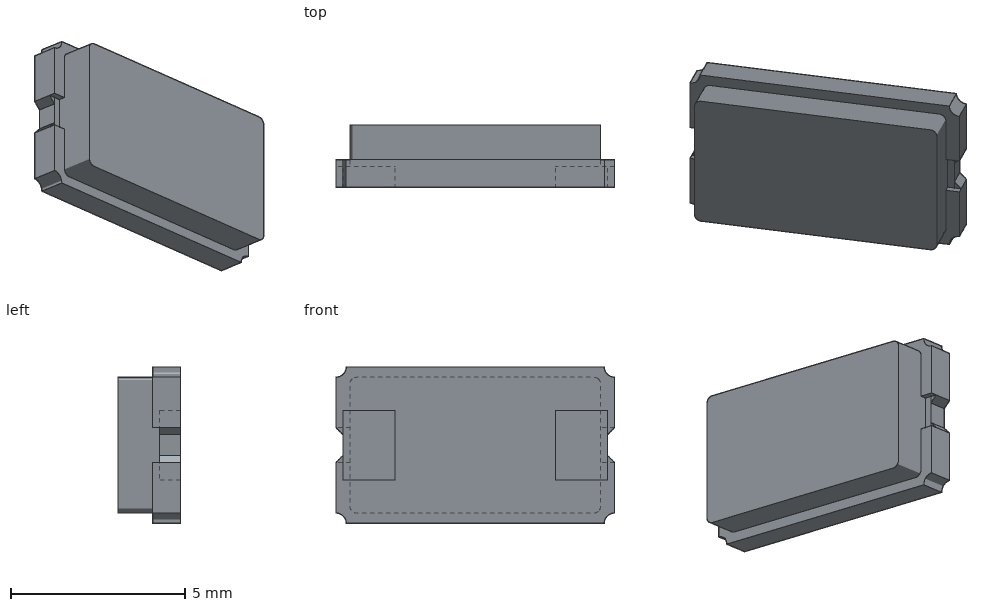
import cadquery as cq

base_length = 8.0
base_height = 4.5
base_depth = 0.8
corner_radius = 0.3

block_length = 7.2
block_height = 3.9
block_depth = 1.0
block_edge_radius = 0.2

notch_width = 1.0
notch_inset = 0.2
notch_floor_width = notch_width - 2 * notch_inset

pad_length = 1.5
pad_height = 2.0
pad_depth = 0.6
pad_outer_x = base_length / 2 - notch_inset

slot_inset = (base_length - block_length) / 2
slot_depth = base_depth - pad_depth

END_SIDES = (-1, 1)


def box_from_front(length, depth, height, center_x=0.0, front_y=0.0):
    """Box centred on Z = 0 whose front face lies at front_y."""
    return cq.Workplane("XY").box(length, depth, height).translate((center_x, front_y + depth / 2, 0))


def make_base():
    plate = box_from_front(base_length, base_depth, base_height)
    corner_cutters = (
        cq.Workplane("XZ")
        .rect(base_length, base_height, forConstruction=True)
        .vertices()
        .circle(corner_radius)
        .extrude(-base_depth)
    )
    return plate.cut(corner_cutters)


def make_block():
    block = box_from_front(block_length, block_depth, block_height, front_y=base_depth)
    return block.edges("|Y").fillet(block_edge_radius)


def make_notch_cutter(side):
    """Sloped notch through the pad depth, with the wider slot behind it."""
    end_x = side * base_length / 2
    floor_x = side * pad_outer_x
    notch = (
        cq.Workplane("XZ")
        .polyline([
            (end_x, -notch_width / 2),
            (floor_x, -notch_floor_width / 2),
            (floor_x, notch_floor_width / 2),
            (end_x, notch_width / 2),
        ])
        .close()
        .extrude(-pad_depth)
    )
    slot_center_x = side * (base_length - slot_inset) / 2
    slot = box_from_front(slot_inset, slot_depth, notch_width, slot_center_x, pad_depth)
    return notch.union(slot)


def make_pad(side):
    pad_center_x = side * (pad_outer_x - pad_length / 2)
    return box_from_front(pad_length, pad_depth, pad_height, pad_center_x)


def make_housing(pads):
    housing = make_base().union(make_block())
    for side in END_SIDES:
        housing = housing.cut(make_notch_cutter(side))
    for pad in pads:
        housing = housing.cut(pad)
    return housing


pads = [make_pad(side) for side in END_SIDES]
housing = make_housing(pads)

result = cq.Compound.makeCompound([housing.solids().val(), *[pad.val() for pad in pads]])